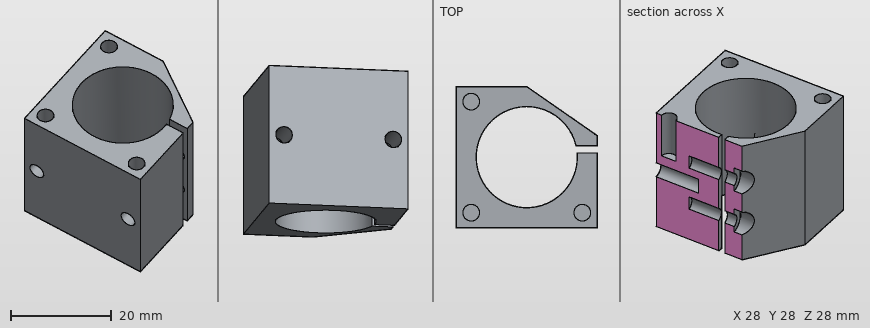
import cadquery as cq

side = 28.0
half = side / 2

bore_diameter = 20.0

slope_end_y = 4.25

slot_bottom_y = 0.85
slot_top_y = 2.25

tapped_diameter = 3.3
tapped_offset = 11.0
tapped_depth = 10.0

screw_x = 11.7
screw_z = 5.05
screw_diameter = 3.2
screw_thread_depth = 7.0
head_diameter = 5.68
head_seat_y = 4.5


def block():
    outline = [
        (-half, -half),
        (half, -half),
        (half, slope_end_y),
        (0, half),
        (-half, half),
    ]
    return cq.Workplane("XY").polyline(outline).close().extrude(half, both=True)


def bore():
    return cq.Workplane("XY").circle(bore_diameter / 2).extrude(half, both=True)


def slot():
    outline = cq.Workplane("XY").moveTo(0, slot_bottom_y).lineTo(half, slot_bottom_y)
    outline = outline.lineTo(half, slot_top_y).lineTo(0, slot_top_y).close()
    return outline.extrude(half, both=True)


def top_holes():
    centres = [
        (-tapped_offset, -tapped_offset),
        (tapped_offset, -tapped_offset),
        (-tapped_offset, tapped_offset),
    ]
    top = cq.Workplane("XY", origin=(0, 0, half))
    return top.pushPoints(centres).circle(tapped_diameter / 2).extrude(-tapped_depth)


def holes_along_y(centres, diameter, start_y, end_y):
    plane = cq.Workplane("XZ", origin=(0, start_y, 0))
    return plane.pushPoints(centres).circle(diameter / 2).extrude(start_y - end_y)


def front_holes():
    centres = [(-tapped_offset, 0), (tapped_offset, 0)]
    return holes_along_y(centres, tapped_diameter, -half, tapped_depth - half)


def clamp_screw_holes():
    centres = [(screw_x, -screw_z), (screw_x, screw_z)]
    shanks = holes_along_y(centres, screw_diameter, slot_bottom_y - screw_thread_depth, head_seat_y)
    heads = holes_along_y(centres, head_diameter, head_seat_y, half)
    return shanks.union(heads)


result = block()
for cutter in (bore(), slot(), top_holes(), front_holes(), clamp_screw_holes()):
    result = result.cut(cutter)